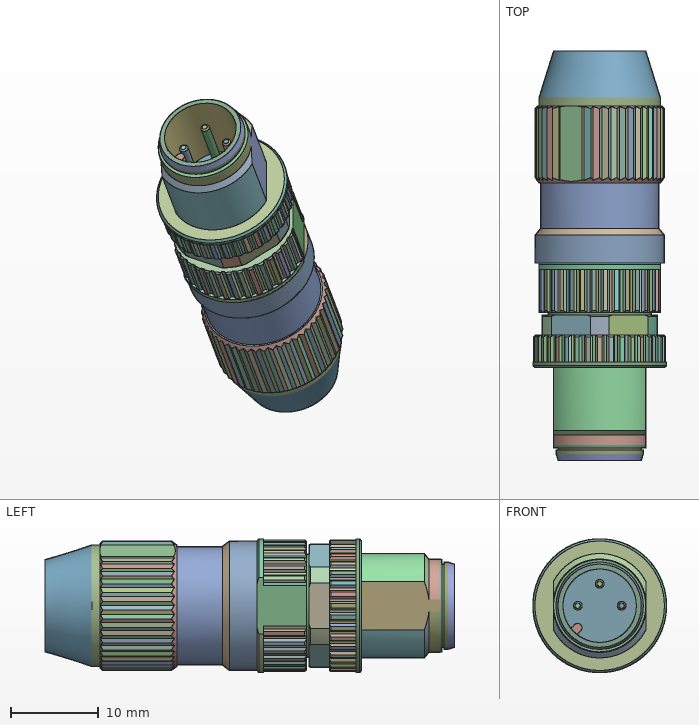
import cadquery as cq
import math

LENGTH = 46.75

LIP_END = 0.75
TIP_END = 1.2
SPIGOT_START = 1.45
SPIGOT_TAPER_END = 1.75
SPIGOT_END = 2.95
BARREL_START = 3.45
RING_START = 10.6
RING_RIM_START = 10.85
RING_RIM_END = 11.25
RING_END = 14.3
HEX_END = 16.6
SLEEVE_START = 16.92
SLEEVE_RIM_START = 21.8
SLEEVE_RIM_END = 22.35
COLLAR_START = 22.55
COLLAR_END = 25.7
BODY_START = 26.5
BODY_END = 31.7
GRIP_END = 40.45
CONE_START = 41.37

TIP_FACE_D = 9.5
TIP_D = 9.95
SPIGOT_NOSE_D = 10.5
SPIGOT_D = 10.65
BARREL_D = 11.9
NECK_D = 11.8
HEX_ROUND_D = 14.1
RIM_D = 15.3
KNURL_D = 15.05
COLLAR_D = 14.75
BODY_D = 13.5
CONE_D = 13.9
CABLE_END_D = 10.5

BARREL_FLATS = 10.55
HEX_FLATS = 13.15
HEX_SIDES = 6
HEX_CHAMFER = 0.15
SLEEVE_FLATS = 13.9

KNURL_COUNT = 36
KNURL_PITCH = 360 / KNURL_COUNT
KNURL_DEPTH = 0.3
KNURL_MOUTH = 0.85
KNURL_FLOOR = 0.35
KNURL_CHAMFER = 0.2

RIDGE_COUNT = 46
RIDGE_PITCH = 360 / RIDGE_COUNT
RIDGE_DEPTH = 0.25
GRIP_FRONT_CHAMFER = 0.6
GRIP_REAR_CHAMFER = 0.3
PANEL_STEPS = 8
PANEL_ANGLE = 180 - PANEL_STEPS * RIDGE_PITCH
PANEL_HALF_ANGLE = 11.3
PANEL_EDGE_R = 7.2
PANEL_RIDGE = 1
STEEP_LAG = 0.1
EVEN_LAG = 0.5
EVEN_FROM = 8

BORE_D = 8.35
BORE_DEPTH = 9.35
PIN_D = 1.0
PIN_SETBACK = 2.25
PIN_CIRCLE_D = 5.0
PIN_TIP_CHAMFER = 0.2
PIN_ANGLES = (0, 90, 180)
KEY_WIDTH = 1.0
KEY_CENTRE_R = 3.55
KEY_ANGLE = 225
KEY_SETBACK = 0.7


def along_y(start):
    """Workplane across the axis at Y = start, X to the right and Z up; it extrudes towards -Y."""
    return cq.Workplane("XZ", origin=(0, start, 0))


def disc(diameter, start, end):
    return along_y(end).circle(diameter / 2).extrude(end - start)


def turned(points):
    """Solid of revolution about Y from (diameter, station) points."""
    outline = [(0, points[0][1])]
    outline += [(diameter / 2, station) for diameter, station in points]
    outline.append((0, points[-1][1]))
    return cq.Workplane("XY").polyline(outline).close().revolve(360, (0, 0, 0), (0, 1, 0))


def flats_block(across, start, end):
    """Slab between two flats facing -X and +X."""
    return along_y(end).rect(across, 2 * RIM_D).extrude(end - start)


def polar(radius, degrees):
    angle = math.radians(degrees)
    return (radius * math.cos(angle), radius * math.sin(angle))


def mating_barrel():
    barrel = turned([
        (TIP_FACE_D, 0),
        (TIP_D, LIP_END),
        (TIP_D, TIP_END),
        (TIP_FACE_D, TIP_END),
        (TIP_FACE_D, SPIGOT_START),
        (SPIGOT_NOSE_D, SPIGOT_START),
        (SPIGOT_D, SPIGOT_TAPER_END),
        (SPIGOT_D, SPIGOT_END),
        (BARREL_D, BARREL_START),
        (BARREL_D, RING_START),
    ])
    return barrel.intersect(flats_block(BARREL_FLATS, 0, RING_START))


def knurl_grooves(start, end, first_angle):
    """Ring of trapezoidal grooves, one of them at first_angle from +X."""
    top = KNURL_D / 2 + KNURL_DEPTH
    slope = (KNURL_MOUTH - KNURL_FLOOR) / 2 / KNURL_DEPTH
    half_floor = KNURL_FLOOR / 2
    half_top = half_floor + slope * 2 * KNURL_DEPTH
    floor = KNURL_D / 2 - KNURL_DEPTH
    profile = [(floor, -half_floor), (top, -half_top), (top, half_top), (floor, half_floor)]
    groove = along_y(end).polyline(profile).close().extrude(end - start)
    turns = [first_angle + i * KNURL_PITCH for i in range(KNURL_COUNT)]
    return cq.Compound.makeCompound(
        [groove.val().rotate(cq.Vector(0, 0, 0), cq.Vector(0, 1, 0), turn) for turn in turns]
    )


def coupling_ring():
    ring = turned([
        (COLLAR_D, RING_START),
        (RIM_D, RING_RIM_START),
        (RIM_D, RING_RIM_END),
        (KNURL_D, RING_RIM_END),
        (KNURL_D, RING_END - KNURL_CHAMFER),
        (KNURL_D - 2 * KNURL_CHAMFER, RING_END),
    ])
    return ring.cut(knurl_grooves(RING_RIM_END, RING_END, KNURL_PITCH / 2))


def hex_nut():
    corner_d = HEX_FLATS / math.cos(math.pi / HEX_SIDES)
    nut = along_y(HEX_END).polygon(HEX_SIDES, corner_d).extrude(HEX_END - RING_END)
    nut = nut.rotate((0, 0, 0), (0, 1, 0), 180 / HEX_SIDES)
    rounding = disc(HEX_ROUND_D, RING_END, HEX_END).faces(">Y").chamfer(HEX_CHAMFER)
    return nut.intersect(rounding)


def knurled_sleeve():
    sleeve = turned([
        (KNURL_D - 2 * KNURL_CHAMFER, SLEEVE_START),
        (KNURL_D, SLEEVE_START + KNURL_CHAMFER),
        (KNURL_D, SLEEVE_RIM_START),
        (RIM_D, SLEEVE_RIM_START),
        (RIM_D, SLEEVE_RIM_END),
        (COLLAR_D, COLLAR_START),
    ])
    sleeve = sleeve.cut(knurl_grooves(SLEEVE_START, SLEEVE_RIM_START, 0))
    return sleeve.intersect(flats_block(SLEEVE_FLATS, SLEEVE_START, COLLAR_START))


def body():
    return turned([
        (COLLAR_D, COLLAR_START),
        (COLLAR_D, COLLAR_END),
        (BODY_D, BODY_START),
        (BODY_D, BODY_END),
        (CONE_D, BODY_END),
        (CONE_D, CONE_START),
        (CABLE_END_D, LENGTH),
    ])


def grip_side(direction):
    """Ridge outline on one side of the panel, from its edge to the valley opposite."""
    points = []
    for i in range(PANEL_RIDGE, RIDGE_COUNT // 2):
        crest = (i + 0.5) * RIDGE_PITCH
        lag = STEEP_LAG + (EVEN_LAG - STEEP_LAG) * min(1, i / EVEN_FROM)
        valley = crest + lag * RIDGE_PITCH
        if i == PANEL_RIDGE:
            points.append(polar(PANEL_EDGE_R, PANEL_ANGLE + direction * PANEL_HALF_ANGLE))
        else:
            points.append(polar(COLLAR_D / 2, PANEL_ANGLE + direction * crest))
        points.append(polar(COLLAR_D / 2 - RIDGE_DEPTH, PANEL_ANGLE + direction * valley))
    return points


def ridged_grip():
    """Grip with one smooth panel; the ridges lean towards it and even out further round."""
    points = grip_side(1) + grip_side(-1)[-2::-1]
    grip = along_y(GRIP_END).polyline(points).close().extrude(GRIP_END - BODY_END)
    envelope = turned([
        (CONE_D, BODY_END),
        (COLLAR_D, BODY_END + GRIP_FRONT_CHAMFER),
        (COLLAR_D, GRIP_END - GRIP_REAR_CHAMFER),
        (COLLAR_D - 2 * GRIP_REAR_CHAMFER, GRIP_END),
    ])
    return grip.intersect(envelope)


def contact_pin(angle):
    centre = polar(PIN_CIRCLE_D / 2, angle)
    pin = along_y(BORE_DEPTH).center(*centre).circle(PIN_D / 2).extrude(BORE_DEPTH - PIN_SETBACK)
    return pin.faces("<Y").chamfer(PIN_TIP_CHAMFER)


def coding_key():
    """Rib with a rounded crown, running along the bore wall."""
    depth = BORE_DEPTH - KEY_SETBACK
    crown = along_y(BORE_DEPTH).center(KEY_CENTRE_R, 0).circle(KEY_WIDTH / 2).extrude(depth)
    root_length = (BORE_D + TIP_FACE_D) / 4 - KEY_CENTRE_R
    root = along_y(BORE_DEPTH).center(KEY_CENTRE_R + root_length / 2, 0)
    root = root.rect(root_length, KEY_WIDTH).extrude(depth)
    return crown.union(root).rotate((0, 0, 0), (0, 1, 0), -KEY_ANGLE)


result = (
    mating_barrel()
    .union(coupling_ring())
    .union(hex_nut())
    .union(disc(NECK_D, HEX_END, SLEEVE_START))
    .union(knurled_sleeve())
    .union(body())
    .union(ridged_grip())
    .cut(disc(BORE_D, 0, BORE_DEPTH))
)
for pin_angle in PIN_ANGLES:
    result = result.union(contact_pin(pin_angle))
result = result.union(coding_key()).solids()